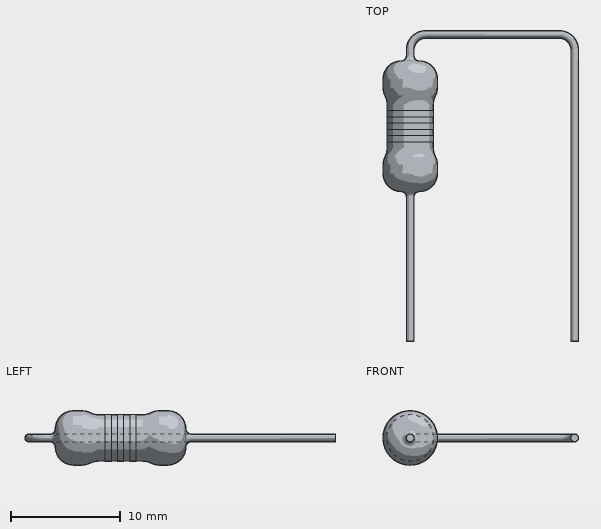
import cadquery as cq
import math

wire_diameter = 0.7
bulge_diameter = 5.0
waist_diameter = 4.25
band_diameter = 4.28

overall_length = 28.35
overall_width = 17.85
bend_radius = 1.42
lead_top = 8.73

dome_start = 4.3
bulge_start = 3.52
waist_half_length = 2.0
neck_fillet = 0.48
band_width = 0.57
band_count = 3

wire_radius = wire_diameter / 2
bulge_radius = bulge_diameter / 2
waist_radius = waist_diameter / 2
band_radius = band_diameter / 2
dome_tip_radius = wire_radius + neck_fillet
dome_radius = bulge_radius - dome_tip_radius
dome_end = dome_start + dome_radius
neck_end = dome_end + neck_fillet
lead_end = lead_top - overall_length
cross_wire_y = lead_top - wire_radius
return_wire_x = overall_width - bulge_radius - wire_radius
bend_start_y = cross_wire_y - bend_radius
shoulder_radius = (bulge_radius + waist_radius) / 2
shoulder_y = (bulge_start + waist_half_length) / 2
diagonal = math.sqrt(0.5)


def make_half_body():
    """Revolve the half of the body on the +Y side of its centre."""
    rise = bulge_radius - shoulder_radius
    run = bulge_start - shoulder_y
    arc_radius = (rise**2 + run**2) / (2 * rise)
    half_angle = math.asin(run / arc_radius) / 2
    sag = arc_radius * (1 - math.cos(half_angle))
    reach = arc_radius * math.sin(half_angle)

    dome_step = dome_radius * diagonal
    neck_step = neck_fillet * diagonal
    profile = (
        cq.Workplane("XY")
        .lineTo(waist_radius, 0)
        .lineTo(waist_radius, waist_half_length)
        .threePointArc((waist_radius + sag, waist_half_length + reach), (shoulder_radius, shoulder_y))
        .threePointArc((bulge_radius - sag, bulge_start - reach), (bulge_radius, bulge_start))
        .lineTo(bulge_radius, dome_start)
        .threePointArc((dome_tip_radius + dome_step, dome_start + dome_step), (dome_tip_radius, dome_end))
        .threePointArc(
            (dome_tip_radius - neck_step, neck_end - neck_step),
            (wire_radius, neck_end),
        )
        .lineTo(0, neck_end)
        .close()
    )
    return profile.revolve(360, (0, 0), (0, 1))


def make_body():
    half = make_half_body()
    return half.union(half.mirror("XZ"), clean=True)


def add_bands(body):
    """Raise thin colour bands on the waist, spaced one band width apart."""
    for index in range(band_count):
        centre = (index - (band_count - 1) / 2) * 2 * band_width
        band = (
            cq.Workplane("XZ", origin=(0, centre + band_width / 2, 0))
            .circle(band_radius)
            .extrude(band_width)
        )
        body = body.union(band)
    return body


def make_wire():
    """One round wire through the body, bent over the far end and back alongside."""
    bend_offset = bend_radius * (1 - diagonal)
    path = (
        cq.Workplane("XY")
        .moveTo(0, lead_end)
        .lineTo(0, bend_start_y)
        .threePointArc((bend_offset, cross_wire_y - bend_offset), (bend_radius, cross_wire_y))
        .lineTo(return_wire_x - bend_radius, cross_wire_y)
        .threePointArc(
            (return_wire_x - bend_offset, cross_wire_y - bend_offset),
            (return_wire_x, bend_start_y),
        )
        .lineTo(return_wire_x, lead_end)
    )
    return cq.Workplane("XZ", origin=(0, lead_end, 0)).circle(wire_radius).sweep(path)


result = add_bands(make_body()).union(make_wire())